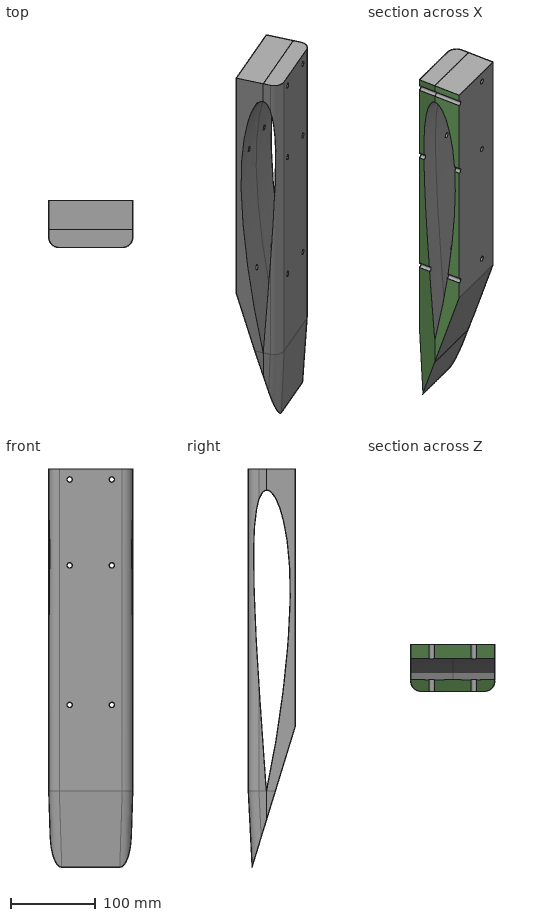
import cadquery as cq
import math

width = 99.82
depth = 55.88
length = 471.56
rear_depth = 34.29
front_depth = depth - rear_depth
half_width = width / 2
corner_radius = 12.7

straight_length = 381.0
side_inset = 2.9
front_inset = 4.6

slope_top = 304.8

leading_edge_depth = 25.4
chord = straight_length - leading_edge_depth
max_camber = 0.02
camber_position = 0.40
thickness_ratio = 0.12
profile_steps = 24

hole_diameter = 6.0
hole_spacing = width / 2
hole_depths = (12.7, 114.3, 279.4)


def section(z, side_offset, front_offset):
    """Outline of the block at height z, with the two front corners rounded."""
    x = half_width - side_offset
    front = -front_depth + front_offset
    corner_y = front + corner_radius
    corner_x = x - corner_radius
    arc_inset = corner_radius * (1 - math.sqrt(0.5))
    return (
        cq.Workplane("XY", origin=(0, 0, z))
        .moveTo(-x, rear_depth)
        .lineTo(x, rear_depth)
        .lineTo(x, corner_y)
        .threePointArc((x - arc_inset, front + arc_inset), (corner_x, front))
        .lineTo(-corner_x, front)
        .threePointArc((-x + arc_inset, front + arc_inset), (-x, corner_y))
        .close()
    )


def make_block():
    """Straight upper portion joined to the tapered lower end."""
    straight = section(-straight_length, 0, 0).extrude(straight_length)
    upper_wire = section(-straight_length, 0, 0).wire().val()
    lower_wire = section(-length, side_inset, front_inset).wire().val()
    tapered = cq.Solid.makeLoft([upper_wire, lower_wire], True)
    return straight.union(cq.Workplane(tapered))


def make_slope_cutter():
    """Wedge that removes the rear of the lower end."""
    tip_y = -front_depth + front_inset
    return (
        cq.Workplane("YZ")
        .polyline([(rear_depth, -slope_top), (tip_y, -length), (rear_depth, -length)])
        .close()
        .extrude(half_width, both=True)
    )


def airfoil_point(t, side):
    """Point (Y, Z) at chord fraction t on the rear (+1) or front (-1) face of a 4-digit NACA airfoil."""
    half_thickness = 5 * thickness_ratio * (
        0.2969 * math.sqrt(t) - 0.1260 * t - 0.3516 * t**2 + 0.2843 * t**3 - 0.1036 * t**4
    )
    p = camber_position
    if t < p:
        camber = max_camber / p**2 * (2 * p * t - t**2)
        slope = 2 * max_camber / p**2 * (p - t)
    else:
        camber = max_camber / (1 - p) ** 2 * (1 - 2 * p + 2 * p * t - t**2)
        slope = 2 * max_camber / (1 - p) ** 2 * (p - t)
    angle = math.atan(slope)
    along = t - side * half_thickness * math.sin(angle)
    across = camber + side * half_thickness * math.cos(angle)
    return (chord * across, -leading_edge_depth - chord * along)


def make_airfoil_cutter():
    """Airfoil prism across the full width; points crowd towards the rounded leading edge."""
    fractions = [(i / profile_steps) ** 2 for i in range(profile_steps + 1)]
    rear_face = [airfoil_point(t, 1) for t in fractions]
    front_face = [airfoil_point(t, -1) for t in fractions]
    outline = rear_face[::-1] + front_face[1:]
    return cq.Workplane("YZ").spline(outline).close().extrude(half_width, both=True)


def make_hole_cutter():
    """Six screw-hole cylinders along Y, in rows of two."""
    centers = [(side * hole_spacing / 2, -z) for z in hole_depths for side in (-1, 1)]
    return (
        cq.Workplane("XZ", origin=(0, rear_depth, 0))
        .pushPoints(centers)
        .circle(hole_diameter / 2)
        .extrude(depth)
    )


def make_half(shape, y_start, y_depth):
    """Part of the shape lying between y_start and y_start + y_depth."""
    region = cq.Workplane("XY").box(width, y_depth, length, centered=(True, False, False))
    return shape.intersect(region.translate((0, y_start, -length)))


shape = make_block().cut(make_slope_cutter()).cut(make_airfoil_cutter()).cut(make_hole_cutter())

rear_body = make_half(shape, 0, rear_depth)
front_body = make_half(shape, -front_depth, front_depth)

result = cq.Compound.makeCompound([rear_body.val(), front_body.val()])